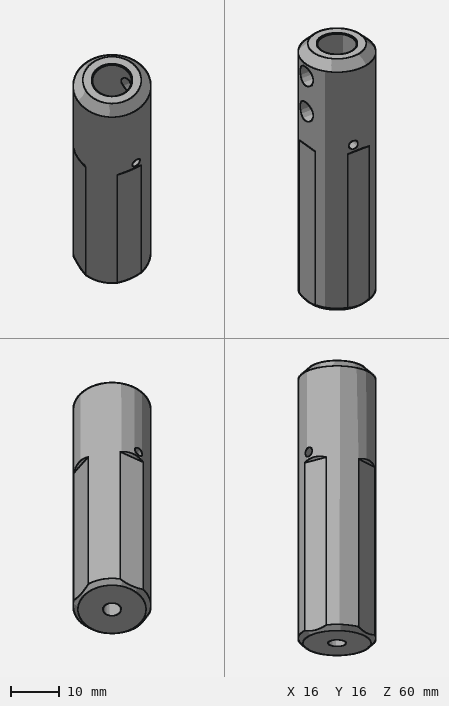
import cadquery as cq

body_diameter = 16.0
body_length = 60.0
nose_chamfer = 2.0
tail_chamfer = 1.0

flat_count = 4
across_flats = 15.0
flat_length = 38.0

tool_bore_diameter = 8.0
tool_bore_bottom = flat_length
mouth_chamfer = 0.2
feed_hole_diameter = 3.7

screw_hole_diameter = 4.5
screw_hole_depths = (5.0, 13.5)

pin_hole_diameter = 2.0
pin_hole_offset = 1.5
pin_hole_height = 40.0

body_radius = body_diameter / 2


def make_body():
    body = cq.Workplane("XY").circle(body_radius).extrude(body_length)
    body = body.faces(">Z").chamfer(nose_chamfer)
    return body.faces("<Z").chamfer(tail_chamfer)


def flat_cutter():
    """Material removed by the flat on the +X side."""
    flat_distance = across_flats / 2
    outer_distance = body_diameter
    bevel_rise = outer_distance - flat_distance
    profile = (
        cq.Workplane("XZ")
        .moveTo(flat_distance, 0)
        .lineTo(outer_distance, 0)
        .lineTo(outer_distance, flat_length + bevel_rise)
        .lineTo(flat_distance, flat_length)
        .close()
    )
    return profile.extrude(body_radius, both=True)


def cut_flats(body):
    for index in range(flat_count):
        angle = index * 360 / flat_count
        body = body.cut(flat_cutter().rotate((0, 0, 0), (0, 0, 1), angle))
    return body


def cut_axial_bores(body):
    feed_hole = cq.Workplane("XY").circle(feed_hole_diameter / 2).extrude(body_length)
    tool_bore = (
        cq.Workplane("XY", origin=(0, 0, tool_bore_bottom))
        .circle(tool_bore_diameter / 2)
        .extrude(body_length - tool_bore_bottom)
    )
    mouth = (
        cq.Workplane("XY", origin=(0, 0, body_length))
        .circle(tool_bore_diameter / 2 + mouth_chamfer)
        .extrude(-mouth_chamfer, taper=45)
    )
    return body.cut(feed_hole).cut(tool_bore).cut(mouth)


def cut_screw_holes(body):
    """Each hole runs from the bore axis out through the +Y wall."""
    for depth in screw_hole_depths:
        hole = (
            cq.Workplane("XZ", origin=(0, 0, body_length - depth))
            .circle(screw_hole_diameter / 2)
            .extrude(-body_diameter)
        )
        body = body.cut(hole)
    return body


def cut_pin_hole(body):
    hole = (
        cq.Workplane("YZ", origin=(0, pin_hole_offset, pin_hole_height))
        .circle(pin_hole_diameter / 2)
        .extrude(body_diameter, both=True)
    )
    return body.cut(hole)


result = make_body()
result = cut_flats(result)
result = cut_axial_bores(result)
result = cut_screw_holes(result)
result = cut_pin_hole(result)